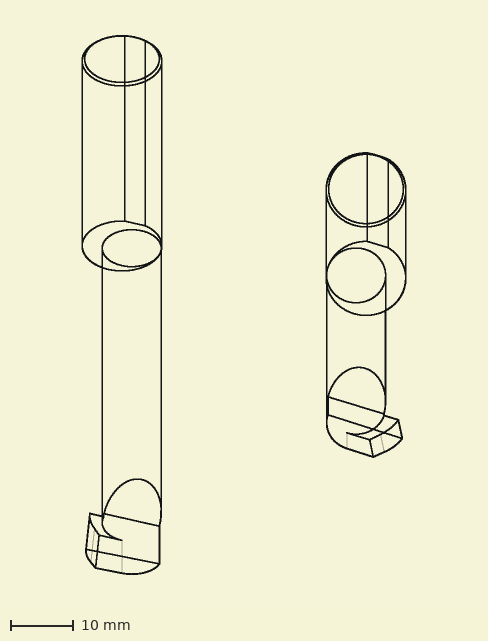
import cadquery as cq
import math

overall_length = 101.59

shank_diameter = 12.7
shank_radius = shank_diameter / 2
shank_length = 38.1
shank_bottom = overall_length - shank_length
shank_chamfer = 0.4
flat_depth = 0.25

neck_diameter = 9.4
neck_radius = neck_diameter / 2
neck_center_x = shank_radius - neck_radius

relief_bottom = 8.1
relief_angle = 45.0

head_top = 7.5
head_side_angle = 5.0
head_tip_x = -6.1
nose_end_offset = (1.95, -3.3)
nose_bulge = 0.25
bevel_width = 1.33

end_rise_angle_x = 2.0
end_rise_angle_y = 6.0


def tan_degrees(angle):
    return math.tan(math.radians(angle))


def make_shank():
    shank = (
        cq.Workplane("XY")
        .workplane(offset=shank_bottom)
        .circle(shank_radius)
        .extrude(shank_length)
        .faces(">Z")
        .chamfer(shank_chamfer)
    )
    flat_cutter = (
        cq.Workplane("XY")
        .workplane(offset=shank_bottom)
        .center(0, shank_radius)
        .rect(shank_diameter, 2 * flat_depth)
        .extrude(shank_length)
    )
    return shank.cut(flat_cutter)


def make_neck():
    neck = cq.Workplane("XY").center(neck_center_x, 0).circle(neck_radius).extrude(shank_bottom)
    relief_depth = shank_radius
    relief_top = relief_bottom + relief_depth * tan_degrees(relief_angle)
    relief_cutter = (
        cq.Workplane("YZ")
        .moveTo(0, 0)
        .lineTo(relief_depth, 0)
        .lineTo(relief_depth, relief_top)
        .lineTo(0, relief_bottom)
        .close()
        .extrude(shank_diameter, both=True)
    )
    return neck.cut(relief_cutter)


def head_outline(workplane, tip_x):
    """Head section: bulged nose, bevel, flat side tangent to the neck, flat rake face on y = 0."""
    nose_dx, nose_y = nose_end_offset
    nose_x = tip_x + nose_dx
    chord = math.hypot(nose_dx, nose_y)
    nose_middle = (
        tip_x + nose_dx / 2 + nose_bulge * nose_y / chord,
        nose_y / 2 - nose_bulge * nose_dx / chord,
    )
    return (
        workplane.moveTo(tip_x, 0)
        .threePointArc(nose_middle, (nose_x, nose_y))
        .lineTo(nose_x + bevel_width, -neck_radius)
        .lineTo(neck_center_x, -neck_radius)
        .lineTo(neck_center_x, 0)
        .close()
    )


def make_head():
    top_tip_x = head_tip_x + head_top * tan_degrees(head_side_angle)
    bottom = head_outline(cq.Workplane("XY"), head_tip_x)
    top = head_outline(bottom.workplane(offset=head_top), top_tip_x)
    return top.loft(ruled=True)


def make_end_cutter():
    """Wedge below the sloping end face, which passes through the tip corner."""
    slope_x = tan_degrees(end_rise_angle_x)
    slope_y = tan_degrees(end_rise_angle_y)
    block_size = 4 * shank_diameter
    end_plane = cq.Plane(
        origin=(head_tip_x, 0, 0),
        xDir=(1, 0, slope_x),
        normal=(-slope_x, slope_y, 1),
    )
    return cq.Workplane(end_plane).rect(block_size, block_size).extrude(-shank_diameter)


bar = make_shank().union(make_neck()).union(make_head())
result = bar.cut(make_end_cutter())